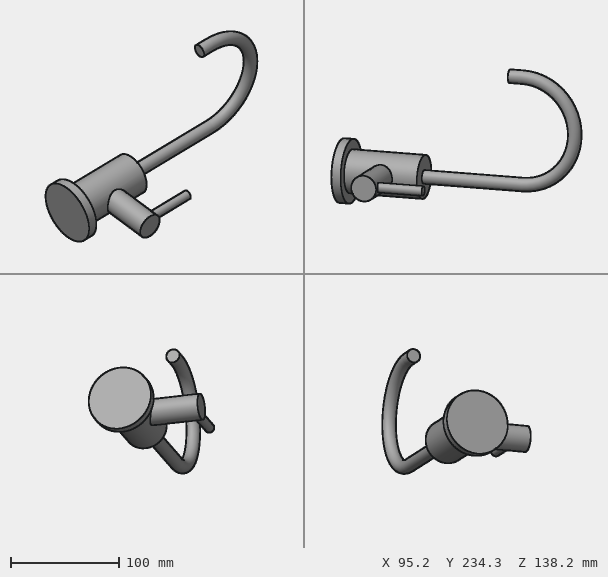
import cadquery as cq

flange_diameter = 60.2
flange_thickness = 9.1
body_diameter = 41.0
body_length = 71.2
body_end = flange_thickness + body_length

overall_length = 234.3
spout_diameter = 13.0
bend_radius = 50.8
outlet_length = 12.7
bend_start = overall_length - bend_radius - spout_diameter / 2
outlet_height = 2 * bend_radius

stem_diameter = 24.4
stem_reach = 65.1
stem_position = 44.0
lever_diameter = 9.1
lever_offset = 56.0
lever_end = 99.0


def rod_along_y(diameter, start, end, x=0):
    """Solid cylinder parallel to Y between two Y positions."""
    return cq.Workplane("XZ", origin=(x, start, 0)).circle(diameter / 2).extrude(start - end)


def make_spout():
    """Round rod swept along the hooked spout path, starting inside the body."""
    path = (
        cq.Workplane("YZ")
        .moveTo(flange_thickness, 0)
        .lineTo(bend_start, 0)
        .threePointArc((bend_start + bend_radius, bend_radius), (bend_start, outlet_height))
        .lineTo(bend_start - outlet_length, outlet_height)
    )
    profile = cq.Workplane("XZ", origin=(0, flange_thickness, 0)).circle(spout_diameter / 2)
    return profile.sweep(path)


def make_stem():
    """Cylinder running from the body axis out to the +X side."""
    return cq.Workplane("YZ").center(stem_position, 0).circle(stem_diameter / 2).extrude(stem_reach)


flange = rod_along_y(flange_diameter, 0, flange_thickness)
body = rod_along_y(body_diameter, flange_thickness, body_end)
lever = rod_along_y(lever_diameter, stem_position, lever_end, x=lever_offset)

result = flange.union(body).union(make_spout()).union(make_stem()).union(lever)